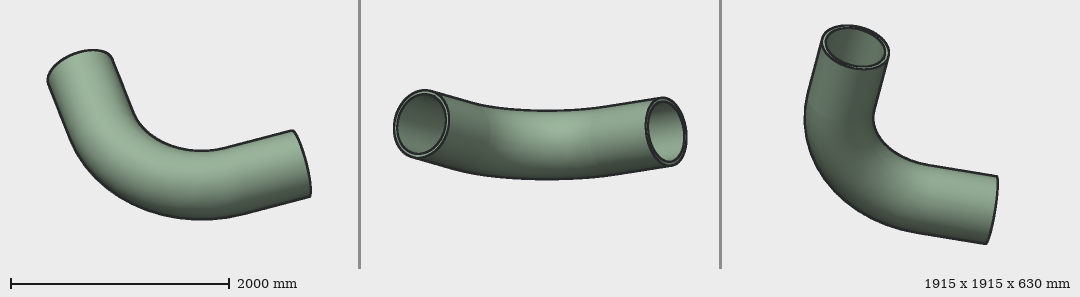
import cadquery as cq

overall_size = 1915.0
outer_diameter = 630.0
inner_diameter = 555.0
straight_length = 642.0

outer_radius = outer_diameter / 2
bend_radius = overall_size - straight_length - outer_radius
bend_angle = 90


def elbow(diameter):
    """Solid round bar along X, bending towards +Y, centred on the XY plane."""
    radius = diameter / 2
    inlet = cq.Workplane("YZ").circle(radius).extrude(straight_length)
    bend = (
        cq.Workplane("YZ", origin=(straight_length, 0, 0))
        .circle(radius)
        .revolve(bend_angle, (bend_radius, 0), (bend_radius, 1))
    )
    outlet = (
        cq.Workplane("XZ", origin=(straight_length + bend_radius, bend_radius, 0))
        .circle(radius)
        .extrude(-straight_length)
    )
    return inlet.union(bend).union(outlet)


result = elbow(outer_diameter).cut(elbow(inner_diameter))